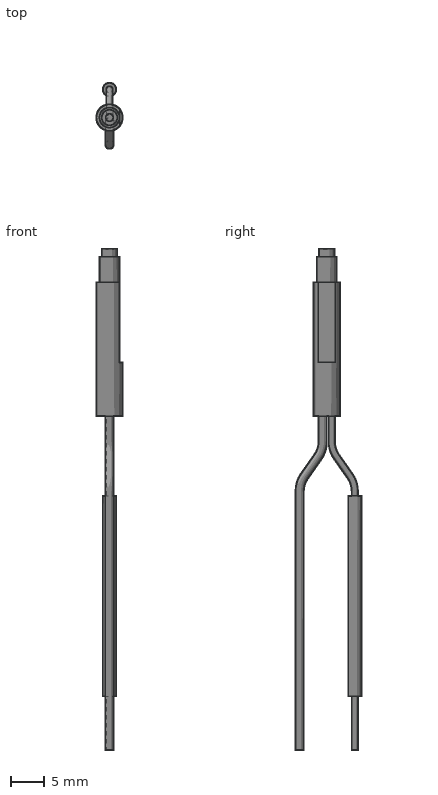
import cadquery as cq
import math

total_height = 75.0

body_diameter = 4.0
body_length = 20.0
neck_diameter = 3.0
neck_length = 3.8
tip_diameter = 2.3
tip_length = 1.2
tip_hole_diameter = 1.1
tip_hole_depth = 0.1
flat_offset = neck_diameter / 2
flat_length = 12.0

sleeved_wire_diameter = 1.0
bare_wire_diameter = 1.3
sleeved_wire_start = 0.75
bare_wire_start = 0.6
sleeve_offset = 4.2
bare_wire_offset = 4.05
lead_length = 3.8
bend_radius = 4.0
bend_angle = math.radians(35)

sleeve_diameter = 2.0
sleeve_length = 30.0
sleeve_gap = 11.9

neck_top = total_height - tip_length
body_top = neck_top - neck_length
body_bottom = body_top - body_length
sleeve_bottom = body_bottom - sleeve_gap - sleeve_length


def cylinder(diameter, length, bottom, y=0.0):
    """Vertical cylinder standing at height bottom."""
    return cq.Workplane("XY", origin=(0, y, bottom)).circle(diameter / 2).extrude(length)


def make_body():
    """Body, neck and tip, with a flat on the +X side and a blind hole in the tip."""
    body = cylinder(body_diameter, body_length, body_bottom)
    flat_cut = cq.Workplane("XY").box(
        body_diameter, body_diameter, flat_length, centered=(False, True, False)
    )
    body = body.cut(flat_cut.translate((flat_offset, 0, body_top - flat_length)))
    body = body.union(cylinder(neck_diameter, neck_length, body_top))
    body = body.union(cylinder(tip_diameter, tip_length, neck_top))
    return body.cut(cylinder(tip_hole_diameter, tip_hole_depth, total_height - tip_hole_depth))


def make_wire(diameter, start_offset, end_offset, side):
    """Wire with two opposite bends joined by a sloping run; side is +1 or -1 in Y."""

    def along_bend(angle):
        """Sideways and downward travel from the vertical end of a bend."""
        return bend_radius * (1 - math.cos(angle)), bend_radius * math.sin(angle)

    bend_shift, bend_drop = along_bend(bend_angle)
    half_shift, half_drop = along_bend(bend_angle / 2)
    slope_shift = end_offset - start_offset - 2 * bend_shift
    slope_drop = slope_shift / math.tan(bend_angle)
    upper_z = body_bottom - lead_length
    lower_z = upper_z - 2 * bend_drop - slope_drop

    path = (
        cq.Workplane("YZ")
        .moveTo(side * start_offset, body_bottom)
        .lineTo(side * start_offset, upper_z)
        .threePointArc(
            (side * (start_offset + half_shift), upper_z - half_drop),
            (side * (start_offset + bend_shift), upper_z - bend_drop),
        )
        .lineTo(side * (end_offset - bend_shift), lower_z + bend_drop)
        .threePointArc(
            (side * (end_offset - half_shift), lower_z + half_drop),
            (side * end_offset, lower_z),
        )
        .lineTo(side * end_offset, 0)
    )
    start = cq.Workplane("XY", origin=(0, side * start_offset, body_bottom))
    return start.circle(diameter / 2).sweep(path)


sleeved_wire = make_wire(sleeved_wire_diameter, sleeved_wire_start, sleeve_offset, 1)
bare_wire = make_wire(bare_wire_diameter, bare_wire_start, bare_wire_offset, -1)
sleeve = cylinder(sleeve_diameter, sleeve_length, sleeve_bottom, sleeve_offset)

result = make_body().union(sleeved_wire).union(bare_wire).union(sleeve)